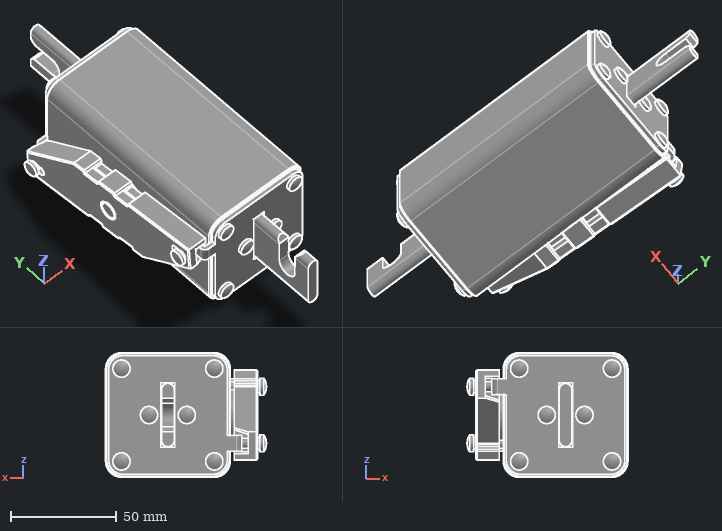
import cadquery as cq
import math


case_side = 59.3
case_half_length = 57.3
case_corner_radius = 8.0
case_end_chamfer = 0.5
plate_inset = 1.5
plate_thickness = 2.3
plate_side = case_side - 2 * plate_inset
plate_corner_radius = case_corner_radius - plate_inset
plate_outer_y = case_half_length + plate_thickness
case_face_x = -case_side / 2

blade_length = 195
blade_half_length = blade_length / 2
blade_thickness = 6.0
blade_height = 30.0
blade_slot_width = 11.0
blade_slot_y = 82.7
blade_slot_chamfer = 2.5
plate_slot_width = 6.6
plate_slot_height = 30.5

head_radius = 4.0
head_height = 1.8
dome_height = 1.4
corner_screw_offset = 22.0
blade_screw_offset = 9.0

carrier_back_x = -31.4
carrier_thickness = 11.1
carrier_face_x = carrier_back_x - carrier_thickness
carrier_half_length = 57.5
carrier_half_height = 21.5
carrier_corner_y = 56.4
carrier_tip_z = 8.0
carrier_knee_y = 24.4
carrier_knee_z = 13.5
carrier_chamfer = 0.5
notch_depth = 1.4
notch_wall_run = 0.8
notch_spans = [(17.4, 7.0), (-3.9, -13.8)]
ramp_start_x = -37.2
ramp_width = 1.8
ramp_drop = 1.8
ring_radius = 5.0
ring_width = 0.8
ring_depth = 0.5

mount_y = 51.5
mount_z = -13.5
slot_width = 4.9
slot_radius = slot_width / 2
slot_travel = 4.0
neck_radius = 3.0
neck_height = 1.2
pocket_wall_x = -38.0
pocket_end_y = 44.8
pocket_side_z = -18.5
pocket_slant = 2.1
pocket_narrowing = 1.2
tab_width = 7.6
tab_outer_x = -35.1
tab_end_y = 46.8
tab_root_overlap = 1.5
tab_outer_radius = 2.7
tab_inner_radius = tab_outer_radius - plate_thickness
disc_radius = 12.0


def turned_about_x(shape):
    """The same shape at the opposite end of the part."""
    return shape.rotate((0, 0, 0), (1, 0, 0), 180)


def cylinder_along_x(radius, x0, x1, y=0, z=0):
    return cq.Workplane("YZ", origin=(x0, y, z)).circle(radius).extrude(x1 - x0)


def screw_head():
    """Domed head standing on the origin, pointing along +Y."""
    rim_y = head_height
    crown_y = head_height + dome_height
    sphere_radius = (head_radius**2 + dome_height**2) / (2 * dome_height)
    half_angle = math.asin(head_radius / sphere_radius) / 2
    mid_x = sphere_radius * math.sin(half_angle)
    mid_y = crown_y - sphere_radius * (1 - math.cos(half_angle))
    return (
        cq.Workplane("XY")
        .lineTo(head_radius, 0)
        .lineTo(head_radius, rim_y)
        .threePointArc((mid_x, mid_y), (0, crown_y))
        .close()
        .revolve(360, (0, 0, 0), (0, 1, 0))
    )


def case():
    return (
        cq.Workplane("XZ")
        .rect(case_side, case_side)
        .extrude(case_half_length, both=True)
        .edges("|Y").fillet(case_corner_radius)
        .faces("<Y or >Y").chamfer(case_end_chamfer)
    )


def tab():
    """Bent strip from the +Y end plate, bored for the mounting screw shank."""
    tab_inner_x = tab_outer_x + plate_thickness
    plate_edge_x = -plate_side / 2
    root_x = plate_edge_x + tab_root_overlap
    strip = (
        cq.Workplane("XY", origin=(0, 0, mount_z - tab_width / 2))
        .moveTo(root_x, plate_outer_y)
        .lineTo(tab_outer_x + tab_outer_radius, plate_outer_y)
        .radiusArc((tab_outer_x, plate_outer_y - tab_outer_radius), -tab_outer_radius)
        .lineTo(tab_outer_x, tab_end_y)
        .lineTo(tab_inner_x, tab_end_y)
        .lineTo(tab_inner_x, case_half_length - tab_inner_radius)
        .radiusArc((tab_inner_x + tab_inner_radius, case_half_length), tab_inner_radius)
        .lineTo(root_x, case_half_length)
        .close()
        .extrude(tab_width)
    )
    return strip.cut(cylinder_along_x(slot_radius, tab_outer_x, tab_inner_x, mount_y, mount_z))


def end_plate():
    """End plate at +Y with its blade slot, screw heads and carrier tab."""
    plate = (
        cq.Workplane("XZ", origin=(0, plate_outer_y, 0))
        .rect(plate_side, plate_side)
        .extrude(plate_thickness)
        .edges("|Y").fillet(plate_corner_radius)
    )
    plate = plate.union(tab())
    slot = cq.Workplane("XZ", origin=(0, plate_outer_y, 0)).rect(plate_slot_width, plate_slot_height)
    plate = plate.cut(slot.extrude(plate_thickness))
    screw_places = [(side * blade_screw_offset, 0) for side in (-1, 1)]
    screw_places += [
        (side * corner_screw_offset, level * corner_screw_offset) for side in (-1, 1) for level in (-1, 1)
    ]
    for x, z in screw_places:
        plate = plate.union(screw_head().translate((x, plate_outer_y, z)))
    return plate


def slot_cutter(mouth):
    """Round-ended slot in the YZ plane running from its centre to a flared mouth along +Y."""
    radius = blade_slot_width / 2
    flare_start = mouth - blade_slot_chamfer
    flare_half = radius + blade_slot_chamfer
    return (
        cq.Workplane("YZ")
        .moveTo(0, radius)
        .lineTo(flare_start, radius)
        .lineTo(mouth, flare_half)
        .lineTo(mouth, -flare_half)
        .lineTo(flare_start, -radius)
        .lineTo(0, -radius)
        .threePointArc((-radius, 0), (0, radius))
        .close()
        .extrude(blade_thickness, both=True)
    )


def blade():
    """Round-edged blade, slotted lengthwise at +Y and from above at -Y."""
    bar = cq.Workplane("XZ").slot2D(blade_height, blade_thickness, 90).extrude(blade_half_length, both=True)
    end_slot = slot_cutter(blade_half_length - blade_slot_y).translate((0, blade_slot_y, 0))
    top_slot = slot_cutter(blade_height / 2).rotate((0, 0, 0), (1, 0, 0), 90)
    return bar.cut(end_slot).cut(top_slot.translate((0, -blade_slot_y, 0)))


def build_fuse():
    disc = cylinder_along_x(disc_radius, carrier_back_x, case_face_x)
    plate = end_plate()
    return case().union(plate).union(turned_about_x(plate)).union(blade()).union(disc)


def upper_edge_z(y):
    """Height of the long sloping upper edge at a place along Y."""
    slope = (carrier_half_height - carrier_knee_z) / (carrier_corner_y + carrier_knee_y)
    return carrier_knee_z + slope * (carrier_knee_y - y)


def notch_floor(start, end):
    """Both ends of a notch floor, which runs parallel to the upper edge."""
    places = (start - notch_wall_run, end + notch_wall_run)
    return [(y, upper_edge_z(y) - notch_depth) for y in places]


def upper_outline():
    """Upper edge from the +Y tip to the -Y corner, stepping down into each notch."""
    points = [(carrier_half_length, -carrier_tip_z), (carrier_knee_y, carrier_knee_z)]
    for start, end in notch_spans:
        points += [
            (start, upper_edge_z(start)),
            *notch_floor(start, end),
            (end, upper_edge_z(end)),
        ]
    points.append((-carrier_corner_y, carrier_half_height))
    return points


def carrier_plate():
    upper = upper_outline()
    lower = [(-y, -z) for y, z in upper]
    return (
        cq.Workplane("YZ", origin=(carrier_face_x, 0, 0))
        .polyline(upper + lower)
        .close()
        .extrude(carrier_thickness)
        .faces("<X").chamfer(carrier_chamfer)
    )


def notch_step(start, end):
    """Deeper back part of one upper notch, reached by a ramp across its floor."""
    floor = notch_floor(start, end)
    profiles = []
    for x, drop in ((ramp_start_x, 0), (ramp_start_x + ramp_width, ramp_drop), (carrier_back_x, ramp_drop)):
        corners = [(y, z - drop) for y, z in floor]
        corners += [(y, z + notch_depth) for y, z in reversed(floor)]
        profiles.append(cq.Wire.makePolygon([cq.Vector(x, y, z) for y, z in corners], close=True))
    return cq.Workplane(cq.Solid.makeLoft(profiles, True))


def tab_pocket():
    """Pocket for the +Y tab, open at the end and back, narrowing inward in height."""
    profiles = []
    for y, narrowing in ((carrier_half_length, 0), (pocket_end_y, pocket_narrowing)):
        low_z = pocket_side_z + narrowing
        high_z = -carrier_tip_z - narrowing
        corners = [
            (pocket_wall_x, low_z),
            (carrier_back_x, low_z),
            (carrier_back_x, high_z + pocket_slant),
            (pocket_wall_x, high_z),
        ]
        profiles.append(cq.Wire.makePolygon([cq.Vector(x, y, z) for x, z in corners], close=True))
    return cq.Workplane(cq.Solid.makeLoft(profiles, True))


def mount_slot():
    """Slot through the face, running inboard from the +Y mounting screw."""
    return (
        cq.Workplane("YZ", origin=(carrier_face_x, mount_y - slot_travel / 2, mount_z))
        .slot2D(slot_travel + slot_width, slot_width)
        .extrude(pocket_wall_x - carrier_face_x)
    )


def mount_screw():
    """Screw at the +Y end, its shank reaching to the case."""
    head_x = carrier_face_x - neck_height
    shank = cylinder_along_x(slot_radius, carrier_face_x, case_face_x, mount_y, mount_z)
    neck = cylinder_along_x(neck_radius, head_x, carrier_face_x, mount_y, mount_z)
    head = screw_head().rotate((0, 0, 0), (0, 0, 1), 90).translate((head_x, mount_y, mount_z))
    return shank.union(neck).union(head)


def face_ring():
    """Shallow ring groove in the middle of the face."""
    return (
        cq.Workplane("YZ", origin=(carrier_face_x, 0, 0))
        .circle(ring_radius)
        .circle(ring_radius - ring_width)
        .extrude(ring_depth)
    )


def build_carrier():
    body = carrier_plate().cut(face_ring())
    notch_steps = [notch_step(start, end) for start, end in notch_spans]
    for cutter in (*notch_steps, tab_pocket(), mount_slot()):
        body = body.cut(cutter).cut(turned_about_x(cutter))
    screw = mount_screw()
    return body.union(screw).union(turned_about_x(screw))


fuse = build_fuse()
carrier = build_carrier()
result = cq.Compound.makeCompound([fuse.solids().val(), carrier.solids().val()])